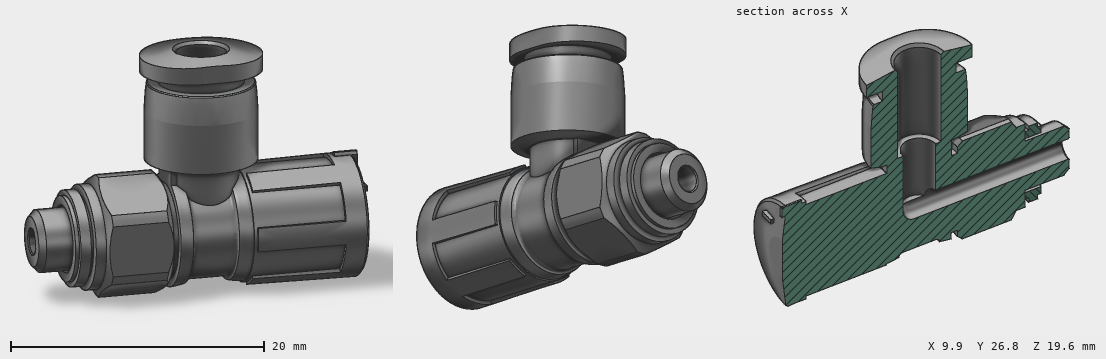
import cadquery as cq
import math


tip_y = -13.92
thread_radius = 5.0 / 2
tip_chamfer = 0.5
flange_front_y = -9.85
flange_back_y = -9.0
flange_radius = 8.4 / 2
hex_back_y = -3.54
hex_flats = 9.0
hex_corner_radius = 9.9 / 2
hex_back_chamfer = hex_corner_radius - hex_flats / 2
hex_front_chamfer_length = 0.45
neck_radius = 3.9

washer_bore_radius = 5.4 / 2
washer_core_radius = 6.85 / 2
washer_lip_radius = 7.7 / 2
washer_front_y = -11.32
lip_front_y = -11.0
lip_back_y = -10.15

waist_radius = 4.0
waist_half_length = 1.5
hollow_mid_radius = 4.1
hollow_mid_y = 1.77
collar_edge_radius = 9.0 / 2
collar_crease_radius = 4.4
collar_crease_y = 2.12
collar_inner_radius = 4.34
collar_inner_y = 1.88
collar_edge_y = 2.8
collar_end_y = 2.97

knob_front_y = 3.03
panel_radius = 9.25 / 2
pad_front_y = 3.3
pad_front_radius = 4.83
pad_count = 6
pad_width = 1.93
rim_front_y = 10.5
knob_back_y = 12.4
knob_back_radius = 9.9 / 2
knob_back_round = 0.2
dome_y = 12.73
dome_flat_radius = 1.9

pointer_front_y = 10.9
pointer_back_y = 12.76
pointer_bottom_z = 4.2
pointer_top_z = 5.2
pointer_width = 0.6
pointer_crest_width = 0.26
bar_back_y = 12.87
bar_height = 0.4
bar_length = 1.26
bar_center_x = 2.1
bar_center_z = 2.85

stem_radius = 3.0
stem_block_width = 3.4
socket_bottom_z = 5.4
socket_chamfer_z = 5.7
socket_bottom_radius = 3.45
socket_radius = 9.0 / 2
socket_taper_z = 9.68
socket_top_z = 12.03
socket_top_radius = 4.32
socket_rim_chamfer = 0.09
socket_taper_bulge = 0.04

sleeve_radius = 6.85 / 2
button_bottom_z = 12.97
button_top_z = 14.67
button_flat_length = 1.94
button_width = 7.86
button_edge_z = 14.24

tube_radius = 4.0 / 2
tube_mouth_chamfer = 0.25
tube_stop_z = 5.7
riser_radius = 3.0 / 2
bore_radius = 2.0 / 2
bore_end_y = 0.43
bore_mouth_chamfer = 0.1


def turned(profile):
    """Revolve (radius, y) points about the Y axis, closing the outline along the axis."""
    outline = [(0, profile[0][1])] + profile + [(0, profile[-1][1])]
    return cq.Workplane("XY").polyline(outline).close().revolve(360, (0, 0, 0), (0, 1, 0))


def cylinder_y(radius, start_y, end_y):
    return turned([(radius, start_y), (radius, end_y)])


def cylinder_z(radius, bottom_z, top_z):
    return cq.Workplane("XY").workplane(offset=bottom_z).circle(radius).extrude(top_z - bottom_z)


def make_threaded_end():
    """Chamfered screw end, washer flange and the neck that runs into the middle of the elbow."""
    return turned([
        (thread_radius - tip_chamfer, tip_y),
        (thread_radius, tip_y + tip_chamfer),
        (thread_radius, flange_front_y),
        (flange_radius, flange_front_y),
        (flange_radius, flange_back_y),
        (neck_radius, flange_back_y),
        (neck_radius, 0),
    ])


def make_hexagon():
    """Hexagon with two flats facing +/-X, its corners turned round and coned at both ends."""
    corner_to_corner = hex_flats / math.cos(math.pi / 6)
    prism = (
        cq.Workplane("XZ", origin=(0, hex_back_y, 0))
        .transformed(rotate=(0, 0, 30))
        .polygon(6, corner_to_corner)
        .extrude(hex_back_y - flange_back_y)
    )
    envelope = turned([
        (flange_radius, flange_back_y),
        (hex_corner_radius, flange_back_y + hex_front_chamfer_length),
        (hex_corner_radius, hex_back_y - hex_back_chamfer),
        (hex_corner_radius - hex_back_chamfer, hex_back_y),
    ])
    return prism.intersect(envelope)


def make_elbow_waist():
    """Waist between two mirrored collars, each joined to it by a hollow curve."""
    return (
        cq.Workplane("XY")
        .moveTo(0, -collar_end_y)
        .lineTo(collar_edge_radius, -collar_end_y)
        .lineTo(collar_edge_radius, -collar_edge_y)
        .lineTo(collar_crease_radius, -collar_crease_y)
        .lineTo(collar_inner_radius, -collar_inner_y)
        .threePointArc((hollow_mid_radius, -hollow_mid_y), (waist_radius, -waist_half_length))
        .lineTo(waist_radius, waist_half_length)
        .threePointArc((hollow_mid_radius, hollow_mid_y), (collar_inner_radius, collar_inner_y))
        .lineTo(collar_crease_radius, collar_crease_y)
        .lineTo(collar_edge_radius, collar_edge_y)
        .lineTo(collar_edge_radius, knob_front_y)
        .lineTo(0, knob_front_y)
        .close()
        .revolve(360, (0, 0, 0), (0, 1, 0))
    )


def make_knob():
    """Knob with a domed rim and evenly spaced raised grip pads that taper toward the elbow."""
    core = turned([
        (panel_radius, knob_front_y),
        (panel_radius, knob_back_y),
    ])
    taper = (knob_back_radius - pad_front_radius) / (knob_back_y - pad_front_y)
    rim_front_radius = pad_front_radius + taper * (rim_front_y - pad_front_y)
    rim = turned([
        (rim_front_radius, rim_front_y),
        (knob_back_radius, knob_back_y - knob_back_round),
        (knob_back_radius - knob_back_round, knob_back_y),
        (dome_flat_radius, dome_y),
    ])
    pad_envelope = turned([
        (pad_front_radius, pad_front_y),
        (rim_front_radius, rim_front_y),
    ])
    knob = core.union(rim)
    pad_length = rim_front_y - pad_front_y
    for index in range(pad_count):
        pad_bar = (
            cq.Workplane("XY")
            .box(knob_back_radius, pad_length, pad_width, centered=(False, False, True))
            .translate((0, pad_front_y, 0))
            .rotate((0, 0, 0), (0, 1, 0), index * 360 / pad_count)
        )
        knob = knob.union(pad_bar.intersect(pad_envelope))
    return knob


def make_pointer():
    """Ridge along the top of the knob rim, with sloping sides."""
    shoulder_z = knob_back_radius
    return (
        cq.Workplane("XZ", origin=(0, pointer_back_y, 0))
        .polyline([
            (-pointer_width / 2, pointer_bottom_z),
            (pointer_width / 2, pointer_bottom_z),
            (pointer_width / 2, shoulder_z),
            (pointer_crest_width / 2, pointer_top_z),
            (-pointer_crest_width / 2, pointer_top_z),
            (-pointer_width / 2, shoulder_z),
        ])
        .close()
        .extrude(pointer_back_y - pointer_front_y)
    )


def make_bar_mark():
    """Raised minus-shaped bar on the back face of the knob."""
    depth = bar_back_y - rim_front_y
    return (
        cq.Workplane("XY")
        .box(bar_length, depth, bar_height)
        .translate((bar_center_x, bar_back_y - depth / 2, bar_center_z))
    )


def make_stem():
    """Round stem with a block on its front that ends flush with the front collar."""
    block = (
        cq.Workplane("XY")
        .box(stem_block_width, collar_end_y, socket_chamfer_z, centered=(True, False, False))
        .translate((0, -collar_end_y, 0))
    )
    return cylinder_z(stem_radius, 0, socket_chamfer_z).union(block)


def make_socket():
    """Round socket, coned at its base and drawn in by a bulged taper to a chamfered top rim."""
    bulge_radius = (socket_radius + socket_top_radius) / 2 + socket_taper_bulge
    taper_end_z = socket_top_z - socket_rim_chamfer
    bulge_z = (socket_taper_z + taper_end_z) / 2
    return (
        cq.Workplane("XZ")
        .moveTo(0, socket_bottom_z)
        .lineTo(socket_bottom_radius, socket_bottom_z)
        .lineTo(socket_radius, socket_chamfer_z)
        .lineTo(socket_radius, socket_taper_z)
        .threePointArc((bulge_radius, bulge_z), (socket_top_radius, taper_end_z))
        .lineTo(socket_top_radius - socket_rim_chamfer, socket_top_z)
        .lineTo(0, socket_top_z)
        .close()
        .revolve(360, (0, 0, 0), (0, 1, 0))
    )


def make_release_button():
    """Sleeve and slot-shaped button, with a shallow cone on its top."""
    button_length = button_width + button_flat_length
    button = (
        cq.Workplane("XY")
        .workplane(offset=button_bottom_z)
        .slot2D(button_length, button_width, 90)
        .extrude(button_top_z - button_bottom_z)
    )
    cone = (
        cq.Workplane("XZ")
        .polyline([
            (0, button_bottom_z),
            (button_length / 2, button_bottom_z),
            (button_length / 2, button_edge_z),
            (tube_radius + tube_mouth_chamfer, button_top_z),
            (0, button_top_z),
        ])
        .close()
        .revolve(360, (0, 0, 0), (0, 1, 0))
    )
    sleeve = cylinder_z(sleeve_radius, socket_top_z, button_bottom_z)
    return button.intersect(cone).union(sleeve)


def make_passages():
    """Tube bore with a chamfered mouth, riser down to the Y axis, and chamfered, round-ended screw bore."""
    tube_bore = cylinder_z(tube_radius, tube_stop_z, button_top_z)
    mouth = (
        cq.Workplane("XY")
        .workplane(offset=button_top_z)
        .circle(tube_radius + tube_mouth_chamfer)
        .workplane(offset=-tube_mouth_chamfer)
        .circle(tube_radius)
        .loft(ruled=True)
    )
    riser = cylinder_z(riser_radius, 0, tube_stop_z)
    screw_bore = turned([
        (bore_radius + bore_mouth_chamfer, tip_y),
        (bore_radius, tip_y + bore_mouth_chamfer),
        (bore_radius, bore_end_y),
    ])
    bore_end = cq.Workplane("XY").sphere(bore_radius).translate((0, bore_end_y, 0))
    return tube_bore.union(mouth).union(riser).union(screw_bore).union(bore_end)


def make_fitting():
    """Whole fitting as one solid, with its passages cut through."""
    return (
        make_threaded_end()
        .union(make_hexagon())
        .union(make_elbow_waist())
        .union(make_knob())
        .union(make_pointer())
        .union(make_bar_mark())
        .union(make_stem())
        .union(make_socket())
        .union(make_release_button())
        .cut(make_passages())
    )


def make_washer():
    """Sealing washer seated on the flange, with a wider lip around its middle."""
    core = cylinder_y(washer_core_radius, washer_front_y, flange_front_y)
    lip = cylinder_y(washer_lip_radius, lip_front_y, lip_back_y)
    bore = cylinder_y(washer_bore_radius, washer_front_y, flange_front_y)
    return core.union(lip).cut(bore)


fitting = make_fitting()
washer = make_washer()

result = cq.Compound.makeCompound([fitting.val(), washer.val()])